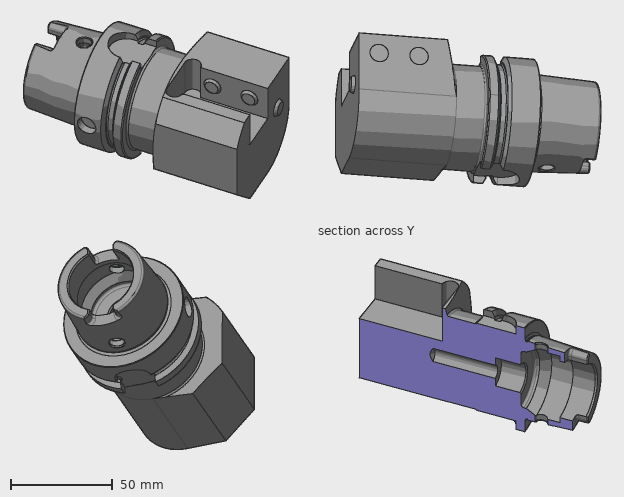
import cadquery as cq
import math


SHANK_LENGTH = 32.0
TAPER_DIA = 48.16
TAPER_END_X = -1.9
TAPER_RATIO = 0.1
NOSE_FILLET = 1.1
RELIEF_DIA = 47.2
RELIEF_STEP_X = -1.2
RELIEF_CORNER = 0.5
FACE_RELIEF_DIA = 50.2

FLANGE_DIA = 63.0
FLANGE_WIDTH = 26.0
FLANGE_CHAMFER = 0.6
FLANGE_FRONT_CHAMFER = 0.3
GROOVE_DIA = 55.0
GROOVE_FRONT_X = 14.45
GROOVE_BACK_X = 21.25
GROOVE_FLANK_RUN = 1.5
GROOVE_FLANK_TAN = math.tan(math.radians(30.0))
GROOVE_FILLET = 0.65

KEYWAY_WIDTH = 18.0
KEYWAY_START_X = 4.8
KEYWAY_FLOOR = 26.4
KEYWAY_END_X = FLANGE_WIDTH + 1.0

CHIP_DIA = 10.0
CHIP_X = 6.85
CHIP_DEPTH = 4.6

NECK_DIA = 52.0
NECK_FILLET = 1.0
SHOULDER_X = 42.0
SHOULDER_TURN = math.radians(75.0)

BORE_DIA = 34.0
BORE_CHAMFER = 0.5
BORE_CHAMFER_LENGTH = 1.0
BORE_END_X = -18.9
CLAMP_DIA = 40.0
CLAMP_SLOPE_TAN = math.tan(math.radians(30.0))
CLAMP_END_X = -6.0
FLOOR_X = 2.0
FLOOR_FILLET = 1.4
SOCKET_DIA = 17.0
SOCKET_MOUTH_DIA = 18.4
SOCKET_DEPTH = 14.0
DRILL_DIA = 8.4
DRILL_END_X = 50.0
DRILL_TIP_TAN = math.tan(math.radians(59.0))

SLOT_WIDTH = 12.54
SLOT_ROUND = 2.7
SLOT_LAND_Z = 20.75
SLOT_BOTTOM_FILLET = 1.4
SLOT_MOUTH_CHAMFER = 0.6
UPPER_SLOT_END_X = -21.6
LOWER_SLOT_END_X = -25.8

ACCESS_DIA = 7.5
ACCESS_MOUTH_DIA = 8.5
ACCESS_SINK = 0.9
ACCESS_X = -9.0

BLOCK_END_X = 90.0
BLOCK_TOP = 30.0
BLOCK_FRONT = -35.0
BLOCK_CORNER_RADIUS = 40.0
BLOCK_CHAMFER = 15.0

TOOL_SLOT_FLOOR = 10.0
TOOL_SLOT_BACK = 1.0
TOOL_SLOT_FRONT = -20.0
TOOL_SLOT_START_X = 45.0
UNDERCUT_DIA = 8.5

SCREW_DIA = 9.2
SCREW_TIP_DIA = 7.0
SCREW_PROTRUSION = 1.3
SCREW_XS = (60.0, 80.0)
SCREW_Z = 20.0
NOZZLE_DIA = 9.0
NOZZLE_TIP_DIA = 7.0
NOZZLE_PROTRUSION = 1.7
NOZZLE_DEPTH = 10.0
NOZZLE_Y = 12.0
NOZZLE_Z = 8.2
PASSAGE_DIA = 4.2
PASSAGE_START_X = 36.0

CLEARANCE = 5.0


def revolve_about_x(profile):
    """Turn a closed (x, radius) profile around the X axis."""
    return profile.revolve(360, (0, 0, 0), (1, 0, 0))


def turned_shank():
    taper_large = TAPER_DIA / 2
    taper_small = taper_large - (TAPER_END_X + SHANK_LENGTH) * TAPER_RATIO / 2
    taper = revolve_about_x(
        cq.Workplane("XY")
        .moveTo(-SHANK_LENGTH, 0)
        .lineTo(-SHANK_LENGTH, taper_small)
        .lineTo(TAPER_END_X, taper_large)
        .lineTo(RELIEF_STEP_X, RELIEF_DIA / 2)
        .lineTo(-RELIEF_CORNER, RELIEF_DIA / 2)
        .lineTo(0, FACE_RELIEF_DIA / 2)
        .lineTo(0, 0)
        .close()
    )
    return taper.faces("<X").edges().fillet(NOSE_FILLET)


def turned_flange():
    rim = FLANGE_DIA / 2
    groove = GROOVE_DIA / 2
    wall_top = rim - GROOVE_FLANK_RUN / GROOVE_FLANK_TAN
    wall_front_x = GROOVE_FRONT_X + GROOVE_FLANK_RUN
    wall_back_x = GROOVE_BACK_X - GROOVE_FLANK_RUN
    fillet_reach = GROOVE_FILLET * (1 - math.sqrt(0.5))
    neck = NECK_DIA / 2
    blend = NECK_FILLET * math.tan(SHOULDER_TURN / 2)
    return revolve_about_x(
        cq.Workplane("XY")
        .moveTo(0, 0)
        .lineTo(0, rim - FLANGE_FRONT_CHAMFER)
        .lineTo(FLANGE_FRONT_CHAMFER, rim)
        .lineTo(GROOVE_FRONT_X, rim)
        .lineTo(wall_front_x, wall_top)
        .lineTo(wall_front_x, groove + GROOVE_FILLET)
        .threePointArc(
            (wall_front_x + fillet_reach, groove + fillet_reach),
            (wall_front_x + GROOVE_FILLET, groove),
        )
        .lineTo(wall_back_x - GROOVE_FILLET, groove)
        .threePointArc(
            (wall_back_x - fillet_reach, groove + fillet_reach),
            (wall_back_x, groove + GROOVE_FILLET),
        )
        .lineTo(wall_back_x, wall_top)
        .lineTo(GROOVE_BACK_X, rim)
        .lineTo(FLANGE_WIDTH - FLANGE_CHAMFER, rim)
        .lineTo(FLANGE_WIDTH, rim - FLANGE_CHAMFER)
        .lineTo(FLANGE_WIDTH, neck)
        .lineTo(SHOULDER_X - blend, neck)
        .lineTo(SHOULDER_X - blend, 0)
        .close()
    )


def clamping_block():
    """Block outline extruded along X, its -X end trimmed by the shoulder cone."""
    neck = NECK_DIA / 2
    corner_y = -math.sqrt(BLOCK_CORNER_RADIUS ** 2 - BLOCK_TOP ** 2)
    corner_z = math.sqrt(BLOCK_CORNER_RADIUS ** 2 - BLOCK_FRONT ** 2)
    middle_angle = (math.atan2(BLOCK_TOP, corner_y) + math.atan2(corner_z, BLOCK_FRONT)) / 2
    corner_middle = (
        BLOCK_CORNER_RADIUS * math.cos(middle_angle),
        BLOCK_CORNER_RADIUS * math.sin(middle_angle),
    )
    diagonal = neck * math.sqrt(0.5)
    blend = NECK_FILLET * math.tan(SHOULDER_TURN / 2)
    start_x = SHOULDER_X - blend
    outline = (
        cq.Workplane("YZ", origin=(start_x, 0, 0))
        .moveTo(0, -neck)
        .threePointArc((diagonal, -diagonal), (neck, 0))
        .lineTo(neck, BLOCK_TOP)
        .lineTo(corner_y, BLOCK_TOP)
        .threePointArc(corner_middle, (BLOCK_FRONT, corner_z))
        .lineTo(BLOCK_FRONT, -neck + BLOCK_CHAMFER)
        .lineTo(BLOCK_FRONT + BLOCK_CHAMFER, -neck)
        .close()
    )
    block = outline.extrude(BLOCK_END_X - start_x)

    reach = BLOCK_CORNER_RADIUS + CLEARANCE
    half_turn = SHOULDER_TURN / 2
    trim = revolve_about_x(
        cq.Workplane("XY")
        .moveTo(start_x, neck)
        .threePointArc(
            (
                start_x + NECK_FILLET * math.sin(half_turn),
                neck + NECK_FILLET * (1 - math.cos(half_turn)),
            ),
            (SHOULDER_X + blend * math.cos(SHOULDER_TURN), neck + blend * math.sin(SHOULDER_TURN)),
        )
        .lineTo(SHOULDER_X + (reach - neck) / math.tan(SHOULDER_TURN), reach)
        .lineTo(start_x - CLEARANCE, reach)
        .lineTo(start_x - CLEARANCE, neck)
        .close()
    )
    return block.cut(trim)


def flange_neck_fillet():
    """Ring that rounds the corner between the flange and the neck."""
    neck = NECK_DIA / 2
    sagitta = NECK_FILLET * (1 - math.sqrt(0.5))
    return revolve_about_x(
        cq.Workplane("XY")
        .moveTo(FLANGE_WIDTH, neck)
        .lineTo(FLANGE_WIDTH, neck + NECK_FILLET)
        .threePointArc(
            (FLANGE_WIDTH + sagitta, neck + sagitta),
            (FLANGE_WIDTH + NECK_FILLET, neck),
        )
        .close()
    )


def shank_bore():
    bore = BORE_DIA / 2
    clamp = CLAMP_DIA / 2
    socket = SOCKET_DIA / 2
    mouth = SOCKET_MOUTH_DIA / 2
    drill = DRILL_DIA / 2
    slope_run = (clamp - bore) / CLAMP_SLOPE_TAN
    socket_end_x = FLOOR_X + SOCKET_DEPTH
    fillet_reach = FLOOR_FILLET * math.sqrt(0.5)
    return revolve_about_x(
        cq.Workplane("XY")
        .moveTo(-SHANK_LENGTH, 0)
        .lineTo(-SHANK_LENGTH, bore + BORE_CHAMFER)
        .lineTo(-SHANK_LENGTH + BORE_CHAMFER_LENGTH, bore)
        .lineTo(BORE_END_X, bore)
        .lineTo(BORE_END_X, clamp)
        .lineTo(CLAMP_END_X, clamp)
        .lineTo(CLAMP_END_X + slope_run, bore)
        .lineTo(FLOOR_X - FLOOR_FILLET, bore)
        .threePointArc(
            (FLOOR_X - FLOOR_FILLET + fillet_reach, bore - FLOOR_FILLET + fillet_reach),
            (FLOOR_X, bore - FLOOR_FILLET),
        )
        .lineTo(FLOOR_X, mouth)
        .lineTo(FLOOR_X + mouth - socket, socket)
        .lineTo(socket_end_x, socket)
        .lineTo(socket_end_x, drill)
        .lineTo(DRILL_END_X, drill)
        .lineTo(DRILL_END_X + drill / DRILL_TIP_TAN, 0)
        .close()
    )


def drive_slot_outline(x, growth):
    """Slot cross-section at x, widened all round by growth."""
    half = SLOT_WIDTH / 2 + growth
    radius = SLOT_ROUND - growth
    centre_y = SLOT_WIDTH / 2 + SLOT_ROUND
    centre_z = SLOT_LAND_Z - SLOT_ROUND
    diagonal = radius * math.sqrt(0.5)
    land = centre_z + radius
    outer_y = TAPER_DIA / 2
    top = TAPER_DIA / 2 + CLEARANCE
    return (
        cq.Workplane("YZ", origin=(x, 0, 0))
        .moveTo(-half, 0)
        .lineTo(half, 0)
        .lineTo(half, centre_z)
        .threePointArc((centre_y - diagonal, centre_z + diagonal), (centre_y, land))
        .lineTo(outer_y, land)
        .lineTo(outer_y, top)
        .lineTo(-outer_y, top)
        .lineTo(-outer_y, land)
        .lineTo(-centre_y, land)
        .threePointArc((-centre_y + diagonal, centre_z + diagonal), (-half, centre_z))
        .close()
    )


def drive_slot(end_x):
    """Cutter for one drive slot on the +Z side."""
    slot = drive_slot_outline(-SHANK_LENGTH, 0).extrude(end_x + SHANK_LENGTH)
    slot = slot.faces(">X").edges().fillet(SLOT_BOTTOM_FILLET)
    wide = drive_slot_outline(-SHANK_LENGTH, SLOT_MOUTH_CHAMFER).wires().val()
    narrow = drive_slot_outline(-SHANK_LENGTH + SLOT_MOUTH_CHAMFER, 0).wires().val()
    mouth = cq.Solid.makeLoft([wide, narrow], True)
    return slot.union(cq.Workplane(mouth))


def access_holes():
    """Hole across the shank along Z, countersunk where it leaves the taper."""
    half_length = TAPER_DIA / 2 + CLEARANCE
    hole = cq.Workplane("XY", origin=(ACCESS_X, 0, -half_length)).circle(ACCESS_DIA / 2)
    hole = hole.extrude(2 * half_length)
    surface = TAPER_DIA / 2 + (ACCESS_X - TAPER_END_X) * TAPER_RATIO / 2
    for side in (1, -1):
        start = cq.Vector(ACCESS_X, 0, side * (surface - ACCESS_SINK))
        direction = cq.Vector(0, 0, side)
        cone = cq.Solid.makeCone(
            ACCESS_DIA / 2, ACCESS_MOUTH_DIA / 2, ACCESS_SINK, start, direction
        )
        hole = hole.union(cq.Workplane(cone))
    return hole


def keyway():
    """Round-ended keyway cutter on the +Z side of the flange."""
    radius = KEYWAY_WIDTH / 2
    centre_x = KEYWAY_START_X + radius
    depth = FLANGE_DIA / 2 - KEYWAY_FLOOR + CLEARANCE
    return (
        cq.Workplane("XY", origin=(0, 0, KEYWAY_FLOOR))
        .moveTo(KEYWAY_END_X, radius)
        .lineTo(centre_x, radius)
        .threePointArc((KEYWAY_START_X, 0), (centre_x, -radius))
        .lineTo(KEYWAY_END_X, -radius)
        .close()
        .extrude(depth)
    )


def chip_recess():
    floor_y = -FLANGE_DIA / 2 + CHIP_DEPTH
    recess = cq.Workplane("XZ", origin=(CHIP_X, floor_y, 0)).circle(CHIP_DIA / 2)
    return recess.extrude(CHIP_DEPTH + CLEARANCE)


def tool_slot():
    """Open slot for the tool, with round undercuts at both inner corners."""
    height = BLOCK_TOP - TOOL_SLOT_FLOOR + CLEARANCE
    length = BLOCK_END_X - TOOL_SLOT_START_X + CLEARANCE
    floor = cq.Workplane("XY", origin=(0, 0, TOOL_SLOT_FLOOR))
    slot = (
        floor.moveTo(TOOL_SLOT_START_X, TOOL_SLOT_FRONT)
        .rect(length, TOOL_SLOT_BACK - TOOL_SLOT_FRONT, centered=False)
        .extrude(height)
    )
    undercut_x = TOOL_SLOT_START_X + UNDERCUT_DIA / 2
    undercuts = (
        floor.pushPoints([(undercut_x, TOOL_SLOT_BACK), (undercut_x, TOOL_SLOT_FRONT)])
        .circle(UNDERCUT_DIA / 2)
        .extrude(height)
    )
    return slot.union(undercuts)


def clamp_screw(x):
    """Clamp screw from the +Y face into the slot, ending in a tapered point."""
    back_y = NECK_DIA / 2
    shank_length = back_y - TOOL_SLOT_BACK
    shank = (
        cq.Workplane("XZ", origin=(x, back_y, SCREW_Z))
        .circle(SCREW_DIA / 2)
        .extrude(shank_length)
    )
    point = cq.Solid.makeCone(
        SCREW_DIA / 2,
        SCREW_TIP_DIA / 2,
        SCREW_PROTRUSION,
        cq.Vector(x, TOOL_SLOT_BACK, SCREW_Z),
        cq.Vector(0, -1, 0),
    )
    return shank.union(cq.Workplane(point))


def coolant_nozzle():
    """Round insert in the end face with a domed, flat-tipped head."""
    rim = NOZZLE_DIA / 2
    tip = NOZZLE_TIP_DIA / 2
    base_offset = (rim ** 2 - tip ** 2 - NOZZLE_PROTRUSION ** 2) / (2 * NOZZLE_PROTRUSION)
    dome_radius = math.hypot(rim, base_offset)
    middle_rise = NOZZLE_PROTRUSION / 2
    middle = math.sqrt(dome_radius ** 2 - (base_offset + middle_rise) ** 2)
    nozzle_shape = revolve_about_x(
        cq.Workplane("XY")
        .moveTo(-NOZZLE_DEPTH, 0)
        .lineTo(-NOZZLE_DEPTH, rim)
        .lineTo(0, rim)
        .threePointArc((middle_rise, middle), (NOZZLE_PROTRUSION, tip))
        .lineTo(NOZZLE_PROTRUSION, 0)
        .close()
    )
    return nozzle_shape.translate((BLOCK_END_X, NOZZLE_Y, NOZZLE_Z))


def coolant_passage():
    """Slanted drilling from the axial hole to the nozzle seat."""
    start = cq.Vector(PASSAGE_START_X, 0, 0)
    end = cq.Vector(BLOCK_END_X - NOZZLE_DEPTH, NOZZLE_Y, NOZZLE_Z)
    run = end - start
    return cq.Workplane(cq.Solid.makeCylinder(PASSAGE_DIA / 2, run.Length, start, run))


def holder_body(inserts):
    body = turned_shank().union(turned_flange()).union(clamping_block())
    body = body.union(flange_neck_fillet())
    body = body.cut(shank_bore())
    body = body.cut(drive_slot(UPPER_SLOT_END_X))
    body = body.cut(drive_slot(LOWER_SLOT_END_X).rotate((0, 0, 0), (1, 0, 0), 180))
    body = body.cut(access_holes())
    for turn in (0, 180):
        body = body.cut(keyway().rotate((0, 0, 0), (1, 0, 0), turn))
    body = body.cut(chip_recess())
    body = body.cut(tool_slot())
    body = body.cut(coolant_passage())
    for insert in inserts:
        body = body.cut(insert)
    return body


screws = [clamp_screw(x) for x in SCREW_XS]
nozzle = coolant_nozzle()
holder = holder_body([*screws, nozzle])

result = cq.Compound.makeCompound(
    [holder.val(), *[screw.val() for screw in screws], nozzle.val()]
)